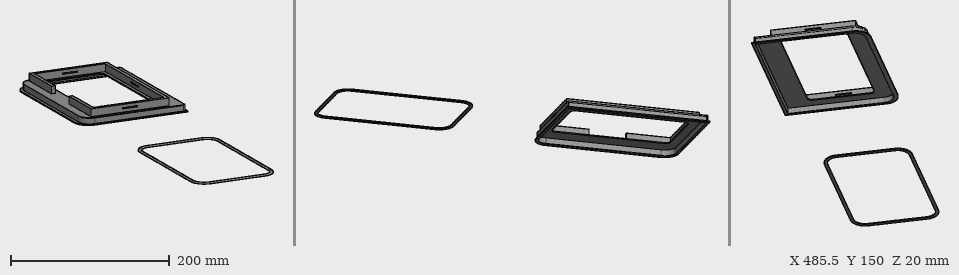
import cadquery as cq

overall_length = 485.5
overall_width = 150.0
overall_height = 20.0

flange_length = 188.5
flange_thickness = 1.5
flange_corner_radius = 19.0
plinth_top = 9.5
cover_thickness = 1.5
plinth_side_margin = 2.0
plinth_back_margin = 3.0
plinth_front_margin = 4.5
plinth_corner_radius = 16.0

opening_side_margin = 16.0
opening_back_margin = 33.5
opening_width = 86.5
opening_corner_radius = 6.0

wall_length = 175.8
wall_width = 109.5
wall_thickness = 5.5
wall_back_margin = 23.5
wall_gap = 49.5
slot_length = 20.5
slot_height = 1.5

gasket_length = 183.0
gasket_width = 114.0
gasket_corner_radius = 19.0
cord_diameter = 4.5
gasket_back_margin = 20.0

flange_center_x = flange_length / 2
wall_height = overall_height - plinth_top
wall_center_y = overall_width - wall_back_margin - wall_width / 2
slot_center_z = plinth_top + wall_height / 2
gasket_center_x = overall_length - gasket_length / 2
gasket_center_y = overall_width - gasket_back_margin - gasket_width / 2


def slab(length, width, height, center_x, center_y, bottom_z):
    """Rectangular block placed by its plan centre and its underside."""
    return (
        cq.Workplane("XY")
        .box(length, width, height, centered=(True, True, False))
        .translate((center_x, center_y, bottom_z))
    )


def make_base():
    """Flange and plinth, each with its two front corners rounded."""
    flange = slab(
        flange_length, overall_width, flange_thickness, flange_center_x, overall_width / 2, 0
    )
    flange = flange.edges("|Z and <Y").fillet(flange_corner_radius)

    plinth_length = flange_length - 2 * plinth_side_margin
    plinth_width = overall_width - plinth_back_margin - plinth_front_margin
    plinth_center_y = plinth_front_margin + plinth_width / 2
    plinth = slab(plinth_length, plinth_width, plinth_top, flange_center_x, plinth_center_y, 0)
    plinth = plinth.edges("|Z and <Y").fillet(plinth_corner_radius)
    return flange.union(plinth)


def make_underside_recess():
    """Hollow below the plinth's top skin, its side walls as thick as that skin."""
    recess_length = flange_length - 2 * (plinth_side_margin + cover_thickness)
    recess_front = plinth_front_margin + cover_thickness
    recess_back = overall_width - plinth_back_margin - cover_thickness
    recess = slab(
        recess_length,
        recess_back - recess_front,
        plinth_top - cover_thickness,
        flange_center_x,
        (recess_front + recess_back) / 2,
        0,
    )
    return recess.edges("|Z and <Y").fillet(plinth_corner_radius - cover_thickness)


def make_opening():
    """Rounded window that passes through the plinth."""
    opening_length = flange_length - 2 * opening_side_margin
    opening_center_y = overall_width - opening_back_margin - opening_width / 2
    opening = slab(
        opening_length, opening_width, plinth_top, flange_center_x, opening_center_y, 0
    )
    return opening.edges("|Z").fillet(opening_corner_radius)


def make_wall():
    """Rectangular wall, open at the middle of its front, with slots in its other sides."""
    wall = slab(wall_length, wall_width, wall_height, flange_center_x, wall_center_y, plinth_top)
    inner_length = wall_length - 2 * wall_thickness
    inner_width = wall_width - 2 * wall_thickness
    wall = wall.cut(
        slab(inner_length, inner_width, wall_height, flange_center_x, wall_center_y, plinth_top)
    )

    front_center_y = wall_center_y - wall_width / 2 + wall_thickness / 2
    wall = wall.cut(
        slab(wall_gap, wall_thickness, wall_height, flange_center_x, front_center_y, plinth_top)
    )

    slot_bottom_z = slot_center_z - slot_height / 2
    side_slots = slab(
        wall_length, slot_length, slot_height, flange_center_x, wall_center_y, slot_bottom_z
    )
    back_center_y = wall_center_y + wall_width / 2 - wall_thickness / 2
    back_slot = slab(
        slot_length, wall_thickness, slot_height, flange_center_x, back_center_y, slot_bottom_z
    )
    return wall.cut(side_slots).cut(back_slot)


def make_frame():
    return make_base().cut(make_underside_recess()).cut(make_opening()).union(make_wall())


def make_gasket():
    """Half-round cord swept along the centre line of the rounded rectangle."""
    path_length = gasket_length - cord_diameter
    path_width = gasket_width - cord_diameter
    path_radius = gasket_corner_radius - cord_diameter / 2
    center_line = (
        cq.Workplane("XY")
        .box(path_length, path_width, cord_diameter)
        .edges("|Z")
        .fillet(path_radius)
        .section()
        .wires()
    )
    cord = cq.Workplane("XZ").center(-path_length / 2, 0).circle(cord_diameter / 2).sweep(center_line)
    lower_half = slab(
        gasket_length, gasket_width, cord_diameter / 2, 0, 0, -cord_diameter / 2
    )
    return cord.cut(lower_half).translate((gasket_center_x, gasket_center_y, 0))


frame = make_frame()
gasket = make_gasket()
result = cq.Compound.makeCompound([frame.val(), gasket.val()])